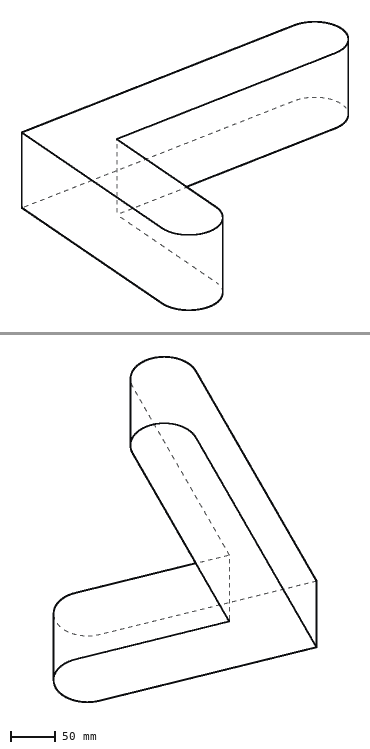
import cadquery as cq

length_x = 302.0
length_y = 427.0
height = 100.0

arm_width = 77.0
end_radius = arm_width / 2

straight_x = length_x - end_radius
straight_y = length_y - end_radius


def l_bar():
    """L-shaped prism with a sharp corner and half-round arm ends."""
    return (
        cq.Workplane("XY")
        .moveTo(0, 0)
        .lineTo(straight_x, 0)
        .threePointArc((length_x, end_radius), (straight_x, arm_width))
        .lineTo(arm_width, arm_width)
        .lineTo(arm_width, straight_y)
        .threePointArc((end_radius, length_y), (0, straight_y))
        .close()
        .extrude(height)
    )


result = l_bar()